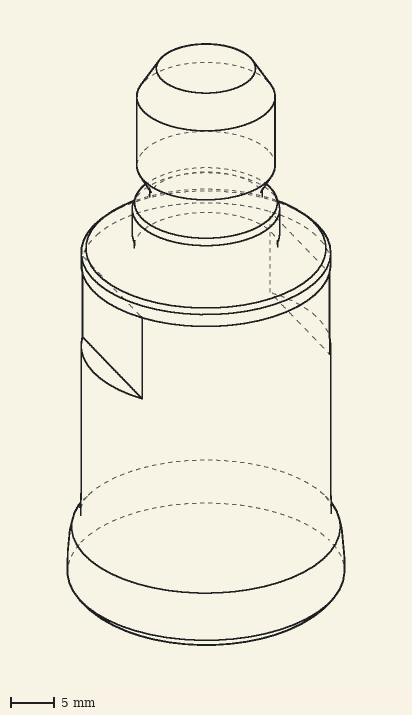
import cadquery as cq

total_height = 68.9
body_radius = 14.4
joint_height = 42.85

flange_top = 45.0
flange_chamfer = 0.55
dish_radius = 9.7
dish_depth = 0.15
root_radius = 16.6 / 2
root_fillet = 0.5

collar_radius = 17.0 / 2
collar_bottom = 46.25
collar_top = 51.05
collar_bottom_chamfer_height = 0.75
collar_top_chamfer_height = 0.8
collar_top_chamfer_width = 0.3

neck_radius = 13.0 / 2
neck_fillet = 0.95
neck_top = 53.1
neck_blend_top = (6.6, 53.55)
neck_blend_middle = (6.55, 53.35)
head_radius = 8.0
head_bottom = 56.0
head_shoulder = 65.2
head_tip_radius = 5.7

band_radius = 14.5
band_top = 11.65
band_bevel_height = 0.4
foot_top = 9.9
foot_shoulder_radius = 15.5
foot_shoulder_height = 8.05
foot_radius = 16.0
foot_widest_top = 4.15
foot_widest_bottom = 2.1
foot_base_radius = 12.55
foot_flare_middle = (14.8, 8.95)
foot_round_middle = (14.9, 0.8)

flat_distance = 24.0
flat_bottom = 32.1


def revolve_profile(profile):
    """Turn a half profile (radius, height) around the Z axis."""
    return profile.close().revolve(360, (0, 0, 0), (0, 1, 0))


def make_stud():
    """Stud with its flange, undercut root, centring collar, neck and head."""
    dish_floor = flange_top - dish_depth
    fillet_offset = root_fillet * (1 - 0.5 ** 0.5)
    neck_offset = neck_fillet * (1 - 0.5 ** 0.5)
    profile = (
        cq.Workplane("XZ")
        .moveTo(0, joint_height)
        .lineTo(body_radius, joint_height)
        .lineTo(body_radius, flange_top - flange_chamfer)
        .lineTo(body_radius - flange_chamfer, flange_top)
        .lineTo(dish_radius, flange_top)
        .lineTo(root_radius + root_fillet, dish_floor)
        .threePointArc(
            (root_radius + fillet_offset, dish_floor + fillet_offset),
            (root_radius, dish_floor + root_fillet),
        )
        .lineTo(root_radius, collar_bottom)
        .lineTo(collar_radius, collar_bottom + collar_bottom_chamfer_height)
        .lineTo(collar_radius, collar_top - collar_top_chamfer_height)
        .lineTo(collar_radius - collar_top_chamfer_width, collar_top)
        .lineTo(neck_radius + neck_fillet, collar_top)
        .threePointArc(
            (neck_radius + neck_offset, collar_top + neck_offset),
            (neck_radius, collar_top + neck_fillet),
        )
        .lineTo(neck_radius, neck_top)
        .threePointArc(neck_blend_middle, neck_blend_top)
        .lineTo(head_radius, head_bottom)
        .lineTo(head_radius, head_shoulder)
        .lineTo(head_tip_radius, total_height)
        .lineTo(0, total_height)
    )
    return revolve_profile(profile)


def make_turned_housing():
    """Barrel with a raised band and a rounded, wider foot."""
    profile = (
        cq.Workplane("XZ")
        .lineTo(foot_base_radius, 0)
        .threePointArc(foot_round_middle, (foot_radius, foot_widest_bottom))
        .lineTo(foot_radius, foot_widest_top)
        .tangentArcPoint((foot_shoulder_radius, foot_shoulder_height), relative=False)
        .threePointArc(foot_flare_middle, (band_radius, foot_top))
        .lineTo(band_radius, band_top)
        .lineTo(body_radius, band_top + band_bevel_height)
        .lineTo(body_radius, joint_height)
        .lineTo(0, joint_height)
    )
    return revolve_profile(profile)


def make_flat_cutter(side):
    """Block outside one wrench flat; side is +1 or -1 along Y."""
    depth = body_radius - flat_distance / 2
    return (
        cq.Workplane("XY", origin=(0, side * (flat_distance + depth) / 2, flat_bottom))
        .rect(2 * body_radius, depth)
        .extrude(joint_height - flat_bottom)
    )


def make_housing():
    """Housing with two wrench flats below the stud flange."""
    turned = make_turned_housing()
    for side in (-1, 1):
        turned = turned.cut(make_flat_cutter(side))
    return turned


stud = make_stud()
housing = make_housing()

result = cq.Compound.makeCompound([stud.val(), housing.val()])